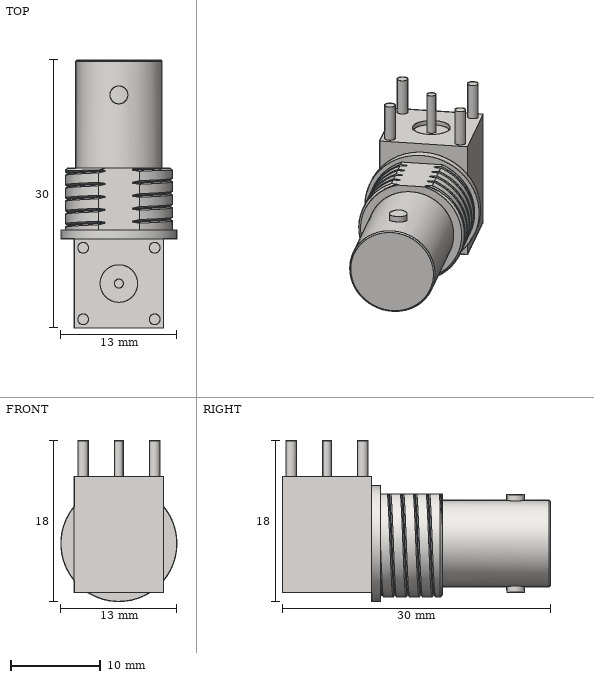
import cadquery as cq


block_width = 10.0
block_depth = 10.0
block_top = 7.5
block_bottom = -5.5
leg_length = 4.0
leg_diameter = 1.2
leg_spacing = 8.0
leg_tip = block_top + leg_length

contact_diameter = 1.0
insulator_diameter = 4.2
insulator_recess = 0.5
insulator_top = block_top - insulator_recess
insulator_bottom = 0.0

flange_diameter = 13.0
flange_length = 1.0
neck_diameter = 12.0
neck_length = 6.9
neck_chamfer = 0.25
neck_flat_height = 5.54
barrel_diameter = 9.7
barrel_length = 12.1
barrel_chamfer = 0.15
flange_start = block_depth / 2
neck_start = flange_start + flange_length
barrel_start = neck_start + neck_length
barrel_end = barrel_start + barrel_length

thread_pitch = 1.45
groove_mouth = 0.4
groove_root = 0.1
groove_depth = 0.25
groove_first_turn = 0.5 - thread_pitch
groove_turns = 6
cutter_overlap = 0.1

lug_diameter = 2.0
lug_tip_radius = 5.5
lug_setback = 3.9


def cylinder_along_y(diameter, start, length):
    base = cq.Workplane("XZ", origin=(0, start, 0))
    return base.circle(diameter / 2).extrude(-length)


def cylinder_along_z(diameter, bottom, top, x=0.0, y=0.0):
    base = cq.Workplane("XY", origin=(x, y, bottom))
    return base.circle(diameter / 2).extrude(top - bottom)


def make_thread_cutter():
    """Tapered section swept along a helix about Z from -X, then turned to run along Y."""
    neck_radius = neck_diameter / 2
    root_radius = neck_radius - groove_depth
    outer_radius = neck_radius + cutter_overlap
    flank_slope = (groove_mouth - groove_root) / 2 / groove_depth
    root_half = groove_root / 2
    outer_half = root_half + flank_slope * (outer_radius - root_radius)
    section = cq.Workplane("XZ").polyline(
        [
            (root_radius, -root_half),
            (root_radius, root_half),
            (outer_radius, outer_half),
            (outer_radius, -outer_half),
        ]
    ).close()
    helix = cq.Wire.makeHelix(thread_pitch, groove_turns * thread_pitch, root_radius)
    cutter = section.sweep(cq.Workplane(obj=helix), isFrenet=True)
    cutter = cutter.rotate((0, 0, 0), (0, 0, 1), 180).rotate((0, 0, 0), (1, 0, 0), -90)
    return cutter.translate((0, neck_start + groove_first_turn, 0))


def make_neck():
    neck = cylinder_along_y(neck_diameter, neck_start, neck_length)
    neck = neck.faces(">Y").chamfer(neck_chamfer)
    above_flat = cq.Workplane("XY").box(
        neck_diameter, neck_length, neck_diameter, centered=(True, False, False)
    ).translate((0, neck_start, neck_flat_height))
    return neck.cut(make_thread_cutter()).cut(above_flat)


def make_lugs():
    """Cross pin with rounded ends; only its ends show outside the barrel."""
    cross_pin = cylinder_along_z(
        lug_diameter, -lug_tip_radius, lug_tip_radius, y=barrel_end - lug_setback
    )
    return cross_pin.intersect(cylinder_along_y(2 * lug_tip_radius, barrel_start, barrel_length))


def make_shell():
    barrel = cylinder_along_y(barrel_diameter, barrel_start, barrel_length)
    barrel = barrel.faces(">Y").chamfer(barrel_chamfer)
    flange = cylinder_along_y(flange_diameter, flange_start, flange_length)
    return flange.union(make_neck()).union(barrel).union(make_lugs())


def make_block():
    block = cq.Workplane("XY", origin=(0, 0, block_bottom)).box(
        block_width, block_depth, block_top - block_bottom, centered=(True, True, False)
    )
    for x_side in (-1, 1):
        for y_side in (-1, 1):
            x = x_side * leg_spacing / 2
            y = y_side * leg_spacing / 2
            block = block.union(cylinder_along_z(leg_diameter, block_top, leg_tip, x, y))
    return block.cut(cylinder_along_z(insulator_diameter, insulator_bottom, block_top))


def make_contact():
    return cylinder_along_z(contact_diameter, insulator_bottom, leg_tip)


def make_insulator():
    insulator = cylinder_along_z(insulator_diameter, insulator_bottom, insulator_top)
    return insulator.cut(make_contact())


shell = make_shell()
block = make_block()
insulator = make_insulator()
contact = make_contact()

result = cq.Compound.makeCompound(
    [shell.val(), block.val(), insulator.val(), contact.val()]
)